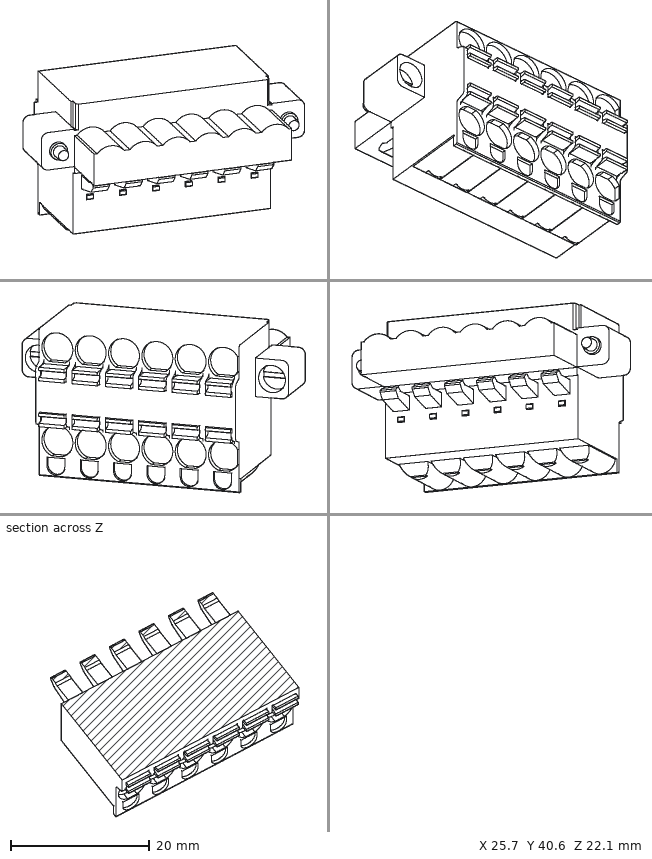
import cadquery as cq

POLES = 6
PITCH = 5.08
BODY_WIDTH = POLES * PITCH
SIDE_Y = BODY_WIDTH / 2
HEIGHT = 22.1
LENGTH = 25.72

FACE_X = 2.32
NOSE_X = 0.73
MID_Z = 12.41
NOSE_HALF = 4.22
NOSE_ROOT_HALF = 4.78
BACK_X = 17.45
LOWER_BACK_X = 17.0
BACK_STEP_Z = 11.4
FLOOR_Z = 1.95
LIP_BACK_X = 3.05
EDGE_RADIUS = 0.3
LIP_CHAMFER = 0.16
STEP_RADIUS = 0.2
NOSE_RADIUS = 0.4

LEVER_START = 0.68
LEVER_WIDTH = 3.85
LEVER_TOP = 4.45
LEVER_BOTTOM = 2.42
PRONG_THICKNESS = 0.65
PRONG_TIP_HEIGHT = 0.5
PRONG_TIP_X = 0.15
GROOVE_EDGE_X = 0.9
GROOVE_FLOOR_X = 1.25
POCKET_START = 0.45
POCKET_END = 4.65
END_WALL = 0.71

RECESS_RADIUS = 2.36
RECESS_SHIFT = 0.23
RECESS_DEPTH = 1.0
RECESS_RIM = 0.24
UPPER_RECESS_Z = 19.27
UPPER_FLAT = 2.02
LOWER_RECESS_Z = 5.36
LOWER_FLAT = 2.22

TEST_RADIUS = 1.36
TEST_Z = 1.67
TEST_TOP_Z = 2.89
TEST_DEPTH = 0.5
RIB_RADIUS = 2.3
RIB_TOP_END_X = 12.7
RIB_SLOPE_END_X = 11.1
RIB_TAIL_Z = 0.37
RIB_TAIL_X = 10.43
RIB_OVERLAP = 0.2

SLEEVE_BOTTOM_Z = 12.47
SLEEVE_SIDE_Z = 17.35
SLEEVE_TOP_Z = 18.33
SLEEVE_ARCH_WIDTH = 4.2

RELIEF_X = 16.0
RELIEF_DEPTH = 0.33
RELIEF_CHAMFER_X = 0.36
RELIEF_CHAMFER_Y = 0.3
RELIEF_DROP = 0.2

FLANGE_WIDTH = 5.08
FLANGE_FRONT_X = 9.74
FLANGE_BOTTOM_Z = 12.55
FLANGE_TOP_Z = 18.33
FLANGE_RADIUS = 1.05
SCREW_Y = SIDE_Y + FLANGE_WIDTH / 2
SCREW_Z = 15.4
SCREW_BORE_RADIUS = 2.04
SCREW_BORE_DEPTH = 2.1
SCREW_SLOT_WIDTH = 0.75
SCREW_SLOT_DEPTH = 0.3
COLLAR_RADIUS = 1.27
COLLAR_LENGTH = 0.6
PIN_RADIUS = 0.9
PIN_END_X = 19.82
PIN_CHAMFER_X = 0.4
PIN_CHAMFER_R = 0.12

LATCH_WIDTH = 2.5
LATCH_ROOT_Z = 8.75
LATCH_TOP_Z = 10.87
LATCH_TOP_END_X = 20.06
LATCH_RISE_X = 20.6
LATCH_RISE_Z = 11.1
LATCH_HOOK_X = 20.95
LATCH_HOOK_Z = 11.37
LATCH_BELLY_Z = 9.65
LATCH_TIP_X = 21.83
LATCH_TIP_Z = 10.6
STUD_WIDTH = 1.0
STUD_DEPTH = 0.25
STUD_BOTTOM_Z = 7.05
STUD_TOP_Z = 7.85
OVERLAP = 0.5

PICK_MARGIN = 0.05

POLE_CENTRES = [SIDE_Y - PITCH * (i + 0.5) for i in range(POLES)]


def box(x0, x1, y0, y1, z0, z1):
    size = (x1 - x0, y1 - y0, z1 - z0)
    return cq.Workplane("XY").box(*size, centered=False).translate((x0, y0, z0))


def extrude_along_y(profile, y0, y1):
    """Extrude a closed XZ profile from y0 to y1."""
    return profile.extrude(-(y1 - y0)).translate((0, y0, 0))


def cylinder_along_x(radius, x0, x1, y, z):
    return cq.Workplane("YZ", origin=(x0, y, z)).circle(radius).extrude(x1 - x0)


def mirrored_in_height(shape):
    return shape.mirror("XY", (0, 0, MID_Z))


def make_housing():
    outline = [
        (FACE_X, 0),
        (FACE_X, MID_Z - NOSE_ROOT_HALF),
        (NOSE_X, MID_Z - NOSE_HALF),
        (NOSE_X, MID_Z + NOSE_HALF),
        (FACE_X, MID_Z + NOSE_ROOT_HALF),
        (FACE_X, HEIGHT),
        (BACK_X, HEIGHT),
        (BACK_X, BACK_STEP_Z),
        (LOWER_BACK_X, BACK_STEP_Z),
        (LOWER_BACK_X, FLOOR_Z),
        (LIP_BACK_X, FLOOR_Z),
        (LIP_BACK_X, 0),
    ]
    profile = cq.Workplane("XZ").polyline(outline).close()
    housing = extrude_along_y(profile, -SIDE_Y, SIDE_Y)

    def edge_at(x, z):
        low = (x - PICK_MARGIN, -SIDE_Y, z - PICK_MARGIN)
        high = (x + PICK_MARGIN, SIDE_Y, z + PICK_MARGIN)
        return cq.selectors.BoxSelector(low, high)

    housing = housing.edges(edge_at(FACE_X, HEIGHT)).fillet(EDGE_RADIUS)
    housing = housing.edges(edge_at(BACK_X, BACK_STEP_Z)).fillet(STEP_RADIUS)
    for side in (-1, 1):
        housing = housing.edges(edge_at(NOSE_X, MID_Z + side * NOSE_HALF)).fillet(NOSE_RADIUS)
        housing = housing.edges(edge_at(FACE_X, MID_Z + side * NOSE_ROOT_HALF)).fillet(NOSE_RADIUS)
    return housing.edges(edge_at(FACE_X, 0)).chamfer(LIP_CHAMFER)


def make_lever(pole_y):
    """Upper-row lever: two thin prongs with a rounded groove between them."""
    top = MID_Z + LEVER_TOP
    bottom = MID_Z + LEVER_BOTTOM
    profile = (
        cq.Workplane("XZ")
        .moveTo(FACE_X, bottom)
        .lineTo(PRONG_TIP_X, bottom)
        .threePointArc((0, bottom + PRONG_TIP_HEIGHT / 2), (PRONG_TIP_X, bottom + PRONG_TIP_HEIGHT))
        .lineTo(GROOVE_EDGE_X, bottom + PRONG_THICKNESS)
        .threePointArc(
            (GROOVE_FLOOR_X, (top + bottom) / 2),
            (GROOVE_EDGE_X, top - PRONG_THICKNESS),
        )
        .lineTo(PRONG_TIP_X, top - PRONG_TIP_HEIGHT)
        .threePointArc((0, top - PRONG_TIP_HEIGHT / 2), (PRONG_TIP_X, top))
        .lineTo(FACE_X, top)
        .close()
    )
    y1 = pole_y + PITCH / 2 - LEVER_START
    return extrude_along_y(profile, y1 - LEVER_WIDTH, y1)


def make_lever_pocket(pole_y):
    y1 = min(pole_y + PITCH / 2 - POCKET_START, SIDE_Y - END_WALL)
    y0 = max(pole_y + PITCH / 2 - POCKET_END, -SIDE_Y + END_WALL)
    return box(0, FACE_X, y0, y1, MID_Z + LEVER_BOTTOM, MID_Z + NOSE_ROOT_HALF + NOSE_RADIUS)


def make_entry_recess(pole_y, z, flat_below, flat_above):
    """Round recess, cut off flat below and above its centre."""
    y = pole_y - RECESS_SHIFT
    disc = cylinder_along_x(RECESS_RADIUS, FACE_X, FACE_X + RECESS_DEPTH, y, z)
    y0 = max(y - RECESS_RADIUS, -SIDE_Y + RECESS_RIM)
    window = box(FACE_X, FACE_X + RECESS_DEPTH, y0, y + RECESS_RADIUS, z - flat_below, z + flat_above)
    return disc.intersect(window)


def make_test_opening(pole_y):
    """D-shaped opening with a flat top."""
    x1 = FACE_X + TEST_DEPTH
    y0 = pole_y - TEST_RADIUS
    y1 = pole_y + TEST_RADIUS
    round_part = cylinder_along_x(TEST_RADIUS, FACE_X, x1, pole_y, TEST_Z)
    square_part = box(FACE_X, x1, y0, y1, TEST_Z, TEST_TOP_Z)
    below_flat = box(FACE_X, x1, y0, y1, 0, TEST_TOP_Z)
    return round_part.intersect(below_flat).union(square_part)


def make_rib(pole_y):
    """Rounded rib under the housing, sloped at its rear end."""
    round_bar = cylinder_along_x(RIB_RADIUS, LIP_BACK_X, RIB_TOP_END_X, pole_y, RIB_RADIUS)
    outline = [
        (LIP_BACK_X, 0),
        (RIB_TAIL_X, 0),
        (RIB_TAIL_X, RIB_TAIL_Z),
        (RIB_SLOPE_END_X, RIB_TAIL_Z),
        (RIB_TOP_END_X, FLOOR_Z),
        (RIB_TOP_END_X, FLOOR_Z + RIB_OVERLAP),
        (LIP_BACK_X, FLOOR_Z + RIB_OVERLAP),
    ]
    profile = cq.Workplane("XZ").polyline(outline).close()
    return round_bar.intersect(extrude_along_y(profile, pole_y - RIB_RADIUS, pole_y + RIB_RADIUS))


def make_sleeves():
    """Sleeve block whose top is a row of arches separated by narrow flats."""
    outline = cq.Workplane("YZ", origin=(BACK_X - OVERLAP, 0, 0)).moveTo(SIDE_Y, SLEEVE_BOTTOM_Z)
    outline = outline.lineTo(SIDE_Y, SLEEVE_SIDE_Z)
    for y in POLE_CENTRES:
        outline = outline.lineTo(y + SLEEVE_ARCH_WIDTH / 2, SLEEVE_SIDE_Z)
        outline = outline.threePointArc((y, SLEEVE_TOP_Z), (y - SLEEVE_ARCH_WIDTH / 2, SLEEVE_SIDE_Z))
    outline = outline.lineTo(-SIDE_Y, SLEEVE_SIDE_Z).lineTo(-SIDE_Y, SLEEVE_BOTTOM_Z).close()
    return outline.extrude(LENGTH - BACK_X + OVERLAP)


def make_corner_relief():
    """Relief at the -Y rear corner, ending just below the top of the flange."""
    inner_y = -SIDE_Y + RELIEF_DEPTH
    outline = [
        (RELIEF_X, -SIDE_Y),
        (RELIEF_X, inner_y),
        (BACK_X - RELIEF_CHAMFER_X, inner_y),
        (BACK_X, inner_y + RELIEF_CHAMFER_Y),
        (BACK_X, -SIDE_Y),
    ]
    bottom_z = FLANGE_TOP_Z - RELIEF_DROP
    relief = cq.Workplane("XY", origin=(0, 0, bottom_z)).polyline(outline).close()
    return relief.extrude(HEIGHT - bottom_z)


def make_flange():
    """Screw flange on the -Y side with its recessed slotted screw and rear pin."""
    flange = box(
        FLANGE_FRONT_X, BACK_X, -SIDE_Y - FLANGE_WIDTH, -SIDE_Y, FLANGE_BOTTOM_Z, FLANGE_TOP_Z
    )
    flange = flange.edges("|X and <Y").fillet(FLANGE_RADIUS)
    head_x = FLANGE_FRONT_X + SCREW_BORE_DEPTH
    bore = cylinder_along_x(SCREW_BORE_RADIUS, FLANGE_FRONT_X, head_x, -SCREW_Y, SCREW_Z)
    slot_end_x = head_x + SCREW_SLOT_DEPTH
    slot_bar = box(
        head_x, slot_end_x,
        -SCREW_Y - SCREW_BORE_RADIUS, -SCREW_Y + SCREW_BORE_RADIUS,
        SCREW_Z - SCREW_SLOT_WIDTH / 2, SCREW_Z + SCREW_SLOT_WIDTH / 2,
    )
    slot = slot_bar.intersect(cylinder_along_x(SCREW_BORE_RADIUS, head_x, slot_end_x, -SCREW_Y, SCREW_Z))
    screw_end = [
        (BACK_X - OVERLAP, 0),
        (BACK_X - OVERLAP, COLLAR_RADIUS),
        (BACK_X + COLLAR_LENGTH, COLLAR_RADIUS),
        (BACK_X + COLLAR_LENGTH, PIN_RADIUS),
        (PIN_END_X - PIN_CHAMFER_X, PIN_RADIUS),
        (PIN_END_X, PIN_RADIUS - PIN_CHAMFER_R),
        (PIN_END_X, 0),
    ]
    pin = cq.Workplane("XY").polyline(screw_end).close().revolve(360, (0, 0, 0), (1, 0, 0))
    return flange.cut(bore).cut(slot).union(pin.translate((0, -SCREW_Y, SCREW_Z)))


def make_latch(pole_y):
    """Hooked latch finger behind the lower rear wall."""
    outline = [
        (LOWER_BACK_X - OVERLAP, LATCH_ROOT_Z),
        (LOWER_BACK_X, LATCH_ROOT_Z),
        (LATCH_HOOK_X, LATCH_BELLY_Z),
        (LATCH_TIP_X, LATCH_TIP_Z),
        (LATCH_TIP_X, LATCH_TOP_Z),
        (LATCH_HOOK_X, LATCH_HOOK_Z),
        (LATCH_RISE_X, LATCH_RISE_Z),
        (LATCH_TOP_END_X, LATCH_TOP_Z),
        (LOWER_BACK_X - OVERLAP, LATCH_TOP_Z),
    ]
    profile = cq.Workplane("XZ").polyline(outline).close()
    return extrude_along_y(profile, pole_y - LATCH_WIDTH / 2, pole_y + LATCH_WIDTH / 2)


def make_stud(pole_y):
    return box(
        LOWER_BACK_X - OVERLAP, LOWER_BACK_X + STUD_DEPTH,
        pole_y - STUD_WIDTH / 2, pole_y + STUD_WIDTH / 2,
        STUD_BOTTOM_Z, STUD_TOP_Z,
    ).edges(">X and |Y").chamfer(STUD_DEPTH / 2)


result = make_housing()

for pole_y in POLE_CENTRES:
    pocket = make_lever_pocket(pole_y)
    lever = make_lever(pole_y)
    result = result.cut(pocket).cut(mirrored_in_height(pocket))
    result = result.union(lever).union(mirrored_in_height(lever))
    result = result.cut(make_entry_recess(pole_y, UPPER_RECESS_Z, UPPER_FLAT, RECESS_RADIUS))
    result = result.cut(make_entry_recess(pole_y, LOWER_RECESS_Z, LOWER_FLAT, LOWER_FLAT))
    result = result.cut(make_test_opening(pole_y))
    result = result.union(make_rib(pole_y))
    result = result.union(make_latch(pole_y)).union(make_stud(pole_y))

corner_relief = make_corner_relief()
flange = make_flange()
result = result.cut(corner_relief).cut(corner_relief.mirror("XZ"))
result = result.union(make_sleeves())
result = result.union(flange).union(flange.mirror("XZ"))